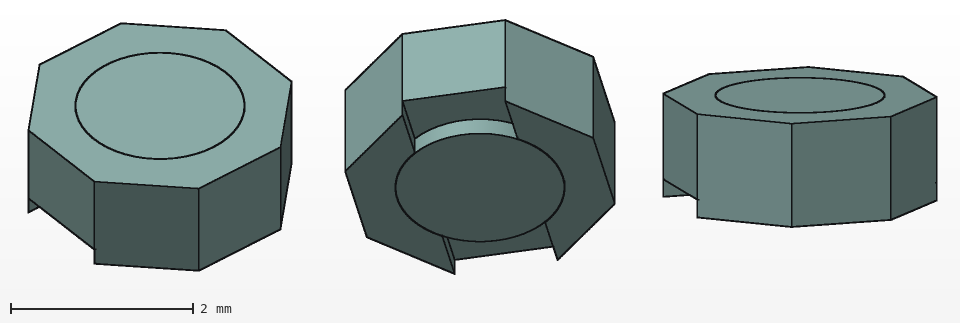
import cadquery as cq
import math

width = 2.78
height = 1.16

sides = 8
turn_to_flats = 180.0 / sides
flat_length = width * math.tan(math.pi / sides)
corner_diameter = math.hypot(width, flat_length)

core_diameter = 1.85
radial_gap = 0.005
bore_diameter = core_diameter + 2 * radial_gap

slot_height = 0.2


def make_shield_ring():
    """Octagonal ring with a bore and a slot through its front and back walls."""
    prism = (
        cq.Workplane("XY")
        .polygon(sides, corner_diameter)
        .extrude(height)
        .rotate((0, 0, 0), (0, 0, 1), turn_to_flats)
    )
    bore = cq.Workplane("XY").circle(bore_diameter / 2).extrude(height)
    slot = cq.Workplane("XY").rect(flat_length, width).extrude(slot_height)
    return prism.cut(bore).cut(slot).solids()


def make_core():
    """Cylinder standing in the bore, flush with the ring at both ends."""
    return cq.Workplane("XY").circle(core_diameter / 2).extrude(height)


shield_ring = make_shield_ring()
core = make_core()

result = cq.Compound.makeCompound([shield_ring.val(), core.val()])